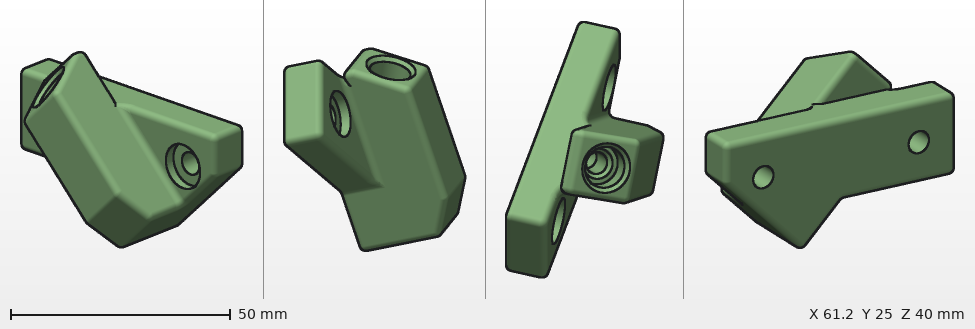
import cadquery as cq
import math

plate_length = 61.2
plate_height = 20.0
plate_depth = 10.0

total_depth = 25.0
arm_width = 15.0
arm_tilt = 45.0
arm_length = plate_length * math.cos(math.radians(arm_tilt))

bevel_angle = 30.0
head_land = 3.0
foot_bevel_depth = 4.95

round_radius = 1.5

screw_spacing = 41.25
screw_diameter = 5.4
screw_head_diameter = 10.65
screw_head_depth = 2.5

mouth_diameter = 11.45
bore_diameter = 9.4
bore_depth = 6.0
seat_diameter = 7.0
pilot_diameter = 5.0
pilot_depth = 14.7
drill_angle = 118.0

drill_tip = pilot_diameter / 2 / math.tan(math.radians(drill_angle / 2))
half_arm = arm_length / 2
half_width = arm_width / 2
bevel = math.radians(bevel_angle)
bevelled_depth = total_depth - plate_depth - head_land
head_setback = bevelled_depth * math.tan(bevel)
foot_setback = foot_bevel_depth / math.tan(bevel)
root_depth = plate_depth + 2 * round_radius
tolerance = 0.005


def turned(body):
    """Swing a body built along X into the direction of the arm."""
    return body.rotate((0, 0, 0), (0, 1, 0), arm_tilt)


def strip(width, depth):
    """Box along the arm, from past the plate's far corner to the foot end face."""
    length = 2 * plate_length
    centre = (half_arm - length / 2, -depth / 2, 0)
    return turned(cq.Workplane("XY").box(length, depth, width).translate(centre))


def is_cove(edge):
    """Inner corner where the front or the underside of the plate meets a wall of the arm."""
    middle = edge.Center()
    along = (middle.x - middle.z) * math.cos(math.radians(arm_tilt))
    across = (middle.x + middle.z) * math.sin(math.radians(arm_tilt))
    on_wall = abs(abs(across) - half_width) < tolerance
    on_front = abs(middle.y + plate_depth) < tolerance
    on_underside = abs(middle.y + plate_depth / 2) < tolerance and along < half_arm - tolerance
    return on_wall and (on_front or on_underside)


def base_body():
    """Plate and arm root, with the coves between them and rounded outer edges."""
    plate = cq.Workplane("XY").box(plate_length, plate_depth, plate_height)
    plate = plate.translate((0, -plate_depth / 2, 0))
    plate = plate.intersect(strip(2 * plate_length, plate_depth))

    below_top = cq.Workplane("XY").box(plate_length, 2 * root_depth, plate_length)
    below_top = below_top.translate((0, 0, (plate_height - plate_length) / 2))
    root = strip(arm_width, root_depth).intersect(below_top)

    body = plate.union(root).clean()
    body = body.edges().filter(is_cove).fillet(round_radius)
    outer_edges = body.edges().filter(lambda edge: edge.BoundingBox().ymax > tolerance - root_depth)
    return outer_edges.fillet(round_radius)


def arm_body():
    """Arm in front of the plate, bevelled at head and foot and rounded all over."""
    profile = [
        (-half_arm, -plate_depth),
        (-half_arm, -plate_depth - head_land),
        (-half_arm + head_setback, -total_depth),
        (half_arm - foot_setback, -total_depth),
        (half_arm, -total_depth + foot_bevel_depth),
        (half_arm, -plate_depth),
    ]
    arm = cq.Workplane("XY").polyline(profile).close().extrude(half_width, both=True)

    def is_rounded(edge):
        middle = edge.Center()
        at_joint = middle.x > half_arm - tolerance and middle.y > -plate_depth - tolerance
        return not at_joint

    return turned(arm.edges().filter(is_rounded).fillet(round_radius))


def screw_holes():
    """Through holes with counterbores sunk from the front of the plate."""
    front = cq.Workplane("XZ", origin=(0, -plate_depth, 0))
    centres = [(-screw_spacing / 2, 0), (screw_spacing / 2, 0)]
    shanks = front.pushPoints(centres).circle(screw_diameter / 2).extrude(-plate_depth)
    heads = front.pushPoints(centres).circle(screw_head_diameter / 2).extrude(-screw_head_depth)
    return shanks.union(heads)


def head_hole():
    """Hole with a chamfered mouth, a flat floor and a countersunk pilot hole, along the bevel normal."""
    mouth_radius = mouth_diameter / 2
    bore_radius = bore_diameter / 2
    seat_radius = seat_diameter / 2
    pilot_radius = pilot_diameter / 2
    section = [
        (0, 0),
        (mouth_radius, 0),
        (bore_radius, mouth_radius - bore_radius),
        (bore_radius, bore_depth),
        (seat_radius, bore_depth),
        (pilot_radius, bore_depth + seat_radius - pilot_radius),
        (pilot_radius, pilot_depth),
        (0, pilot_depth + drill_tip),
    ]
    hole = cq.Workplane("XY").polyline(section).close().revolve(360, (0, 0, 0), (0, 1, 0))
    hole = hole.rotate((0, 0, 0), (0, 0, 1), bevel_angle - 90)
    centre = (-half_arm + head_setback / 2, -total_depth + bevelled_depth / 2, 0)
    return turned(hole.translate(centre))


result = base_body().union(arm_body()).cut(screw_holes()).cut(head_hole())